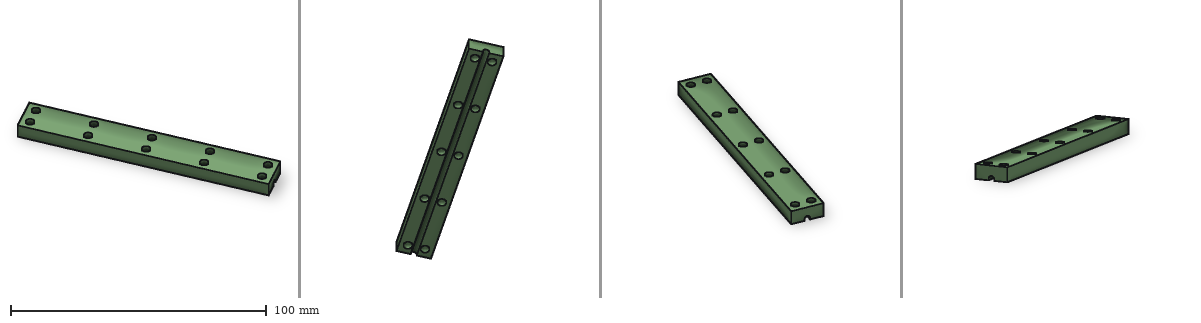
import cadquery as cq

length = 104.0
width = 14.0
height = 6.0

hole_diameter = 3.4
hole_columns = 5
hole_rows = 2
column_pitch = 24.0
row_pitch = 7.0

groove_width = 2.4
groove_depth = 1.9
groove_radius = groove_width / 2
groove_wall_height = groove_depth - groove_radius

bar = cq.Workplane("XY").box(length, width, height, centered=(True, True, False))

holes = (
    cq.Workplane("XY")
    .rarray(column_pitch, row_pitch, hole_columns, hole_rows)
    .circle(hole_diameter / 2)
    .extrude(height)
)

groove = (
    cq.Workplane("YZ")
    .moveTo(-groove_radius, 0)
    .lineTo(-groove_radius, groove_wall_height)
    .threePointArc((0, groove_depth), (groove_radius, groove_wall_height))
    .lineTo(groove_radius, 0)
    .close()
    .extrude(length / 2, both=True)
)

result = bar.cut(holes).cut(groove)